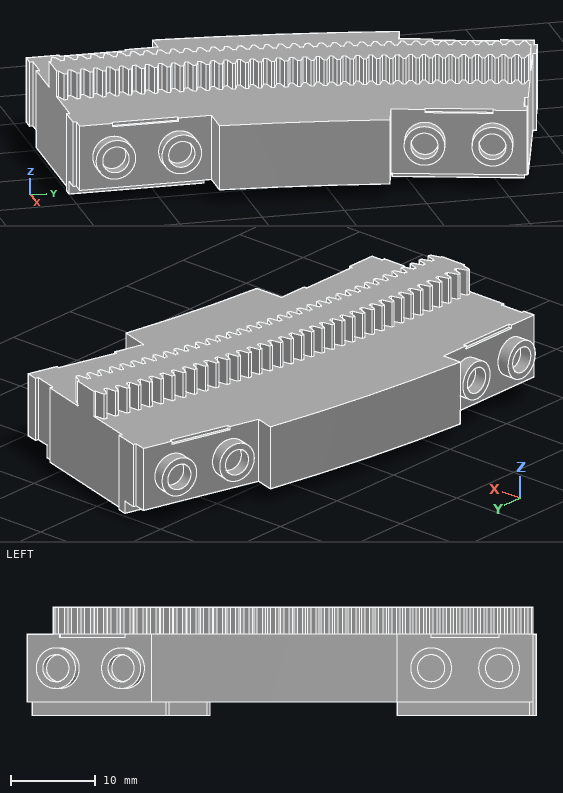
import cadquery as cq
import math

foot_height = 1.6
body_height = 8.0
rack_height = 3.2
body_top = foot_height + body_height
stud_level = foot_height + body_height / 2

bend_radius = 200.0
chord_slope = 1 / 7
bend_angle = 2 * math.atan(chord_slope)

middle_half_width = 16.0
end_half_width = 12.8
end_length = 16.0
foot_half_width = 9.3
foot_wall = 1.3
foot_inside = foot_half_width - foot_wall

stud_diameter = 4.8
stud_height = 1.6
stud_hole_diameter = 3.2
stud_positions = (4.0, 12.0)
slot_depth = 0.4

joint_inner = foot_inside
joint_width = 3.2
joint_depth = 0.4

tooth_count = 36
root_half_width = 1.8
tip_half_width = 3.1
flat_share = 0.25


def at_far_end(shape):
    """Carry a shape modelled at the near end (y = 0) to the far end of the bend."""
    pivot = (bend_radius, 0, 0)
    pivot_top = (bend_radius, 0, 1)
    return shape.mirror("XZ").rotate(pivot, pivot_top, -math.degrees(bend_angle))


def bend_point(offset, angle):
    """Point at a sideways offset (positive toward the bend centre) and an angle along the bend."""
    radius = bend_radius - offset
    return (bend_radius - radius * math.cos(angle), radius * math.sin(angle))


def block(x_min, x_max, y_min, y_max, z_min, z_max):
    """Box given by its limits along X, Y and Z."""
    size = (x_max - x_min, y_max - y_min, z_max - z_min)
    return cq.Workplane("XY").box(*size, centered=False).translate((x_min, y_min, z_min))


def side_span(side, first, second):
    """Ordered X limits of a stretch on one side of the centre line; side is -1 or +1."""
    return sorted((side * first, side * second))


def middle_section():
    """Curved wide section between the two ends, cut off square to each end."""

    def near_corner_angle(offset):
        return math.asin(end_length / (bend_radius - offset))

    def edge_points(offset):
        start = near_corner_angle(offset)
        angles = (start, bend_angle / 2, bend_angle - start)
        return [bend_point(offset, angle) for angle in angles]

    outer_start, outer_mid, outer_end = edge_points(-middle_half_width)
    inner_start, inner_mid, inner_end = edge_points(middle_half_width)
    return (
        cq.Workplane("XY")
        .workplane(offset=foot_height)
        .moveTo(*outer_start)
        .threePointArc(outer_mid, outer_end)
        .lineTo(*inner_end)
        .threePointArc(inner_mid, inner_start)
        .close()
        .extrude(body_height)
    )


def stud(side, position):
    """Hollow stud, open down to the side face of the near end; side is -1 or +1."""
    base = (side * end_half_width, position, stud_level)
    plane = cq.Plane(origin=base, xDir=(0, 1, 0), normal=(side, 0, 0))
    ring = cq.Workplane(plane).circle(stud_diameter / 2).circle(stud_hole_diameter / 2)
    return ring.extrude(stud_height)


def end_section(rib_side):
    """Narrow end at y = 0 with its U-shaped foot, studs, slots, rib and groove; rib_side is -1 or +1."""
    body = block(-end_half_width, end_half_width, 0, end_length, foot_height, body_top)
    foot = block(-foot_half_width, foot_half_width, 0, end_length, 0, foot_height)
    foot = foot.cut(block(-foot_inside, foot_inside, foot_wall, end_length, 0, foot_height))

    joint_outer = joint_inner + joint_width
    rib_span = side_span(rib_side, joint_inner, joint_outer)
    foot_rib_span = side_span(rib_side, joint_inner, foot_half_width)
    groove_span = side_span(-rib_side, joint_inner, joint_outer)
    rib = block(*rib_span, -joint_depth, 0, foot_height, body_top)
    foot_rib = block(*foot_rib_span, -joint_depth, 0, 0, foot_height)
    groove = block(*groove_span, 0, joint_depth, 0, body_top)
    section = body.union(foot).union(rib).union(foot_rib).cut(groove)

    for side in (-1, 1):
        slot_span = side_span(side, end_half_width - slot_depth, end_half_width)
        section = section.cut(block(*slot_span, *stud_positions, body_top - slot_depth, body_top))
        for position in stud_positions:
            section = section.union(stud(side, position))
    return section


def rack_edge(side):
    """Corner points of the teeth along one side of the rack, from the near end to the far end."""
    pitch = bend_angle / tooth_count
    root = side * root_half_width
    tip = side * tip_half_width
    half_tip = flat_share * pitch / 2
    half_base = (1 - flat_share) * pitch / 2
    points = [bend_point(root, 0)]
    for index in range(tooth_count):
        tooth_centre = (index + 0.5) * pitch
        points.append(bend_point(root, tooth_centre - half_base))
        points.append(bend_point(tip, tooth_centre - half_tip))
        points.append(bend_point(tip, tooth_centre + half_tip))
        points.append(bend_point(root, tooth_centre + half_base))
    points.append(bend_point(root, bend_angle))
    return points


def rack():
    """Toothed strip that follows the centre line on top of the body."""
    outline = rack_edge(-1) + rack_edge(1)[::-1]
    base = cq.Workplane("XY").workplane(offset=body_top)
    return base.polyline(outline).close().extrude(rack_height)


near_end = end_section(rib_side=1)
far_end = at_far_end(end_section(rib_side=-1))
result = middle_section().union(near_end).union(far_end).union(rack())